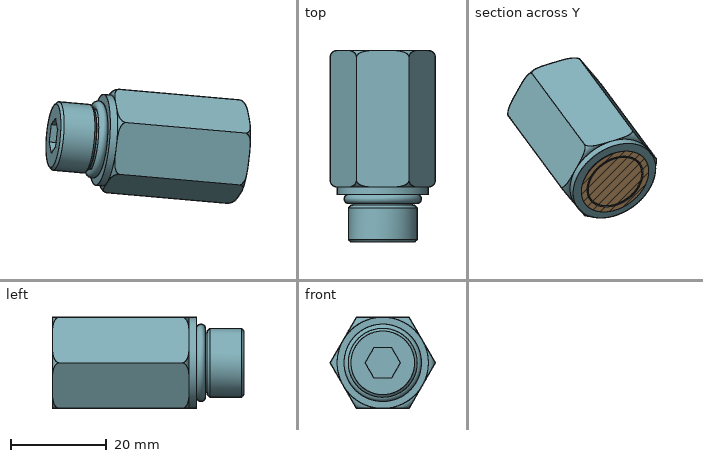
import cadquery as cq
import math

total_length = 39.98
hex_corners = 22.0
hex_flats = hex_corners * math.cos(math.radians(30))

collar_radius = hex_flats / 2
collar_start = 9.9
hex_start = 11.47

stud_radius = 7.2
stud_length = 7.7
stud_chamfer = 0.55
neck_radius = 6.25

ring_section_radius = 0.95
ring_outer_radius = 8.08
ring_center_radius = ring_outer_radius - ring_section_radius
ring_embed = 0.05
ring_center_y = collar_start + ring_embed - ring_section_radius

socket_corners = 7.35
socket_depth = stud_length


def hex_prism(corners, start, end):
    """Hexagonal prism along Y with two corners on the X axis."""
    return (
        cq.Workplane("XZ", origin=(0, start, 0))
        .polygon(6, corners)
        .extrude(start - end)
    )


def make_body():
    """Hexagon with its corners rounded by turning at both ends."""
    corner_radius = hex_corners / 2
    rounding = corner_radius - hex_flats / 2
    envelope = (
        cq.Workplane("XZ", origin=(0, hex_start, 0))
        .circle(corner_radius)
        .extrude(hex_start - total_length)
        .edges("%CIRCLE")
        .fillet(rounding)
    )
    return hex_prism(hex_corners, hex_start, total_length).intersect(envelope)


def make_turned_end():
    """Stud, relief neck and collar as one turned profile."""
    return (
        cq.Workplane("XY")
        .lineTo(stud_radius - stud_chamfer, 0)
        .lineTo(stud_radius, stud_chamfer)
        .lineTo(stud_radius, stud_length - stud_chamfer)
        .lineTo(stud_radius - stud_chamfer, stud_length)
        .lineTo(neck_radius, stud_length)
        .lineTo(neck_radius, collar_start)
        .lineTo(collar_radius, collar_start)
        .lineTo(collar_radius, hex_start)
        .lineTo(0, hex_start)
        .close()
        .revolve(360, (0, 0, 0), (0, 1, 0))
    )


def make_ring():
    """Sealing ring of round section."""
    return (
        cq.Workplane("XY")
        .center(ring_center_radius, ring_center_y)
        .circle(ring_section_radius)
        .revolve(360, (-ring_center_radius, 0, 0), (-ring_center_radius, 1, 0))
    )


socket = hex_prism(socket_corners, 0, socket_depth)
result = make_body().union(make_turned_end()).union(make_ring()).cut(socket)